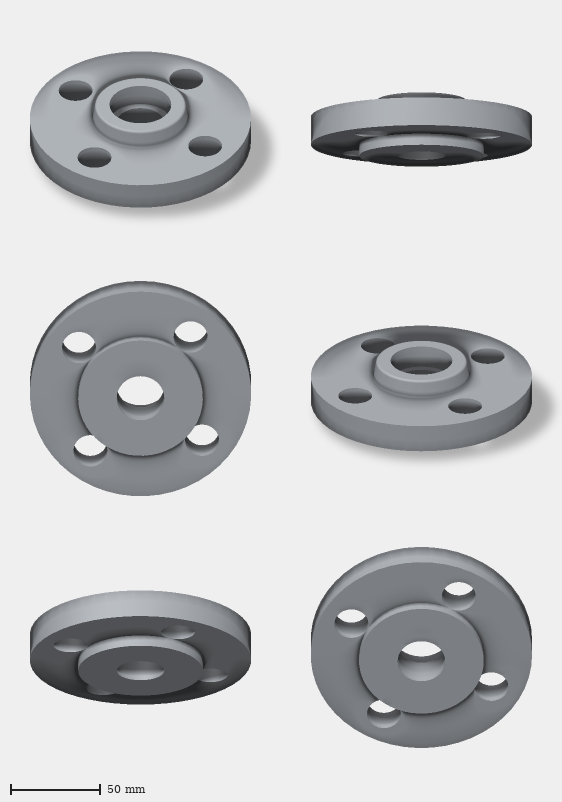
import cadquery as cq
import math


flange_diameter = 123.9
flange_thickness = 15.7
raised_face_diameter = 69.8
raised_face_height = 6.3

hub_base_diameter = 53.9
hub_height = 9.7
hub_draft_angle = 10.0
hub_fillet_radius = 1.5

bore_diameter = 26.6
socket_diameter = 34.6
socket_depth = 12.6

bolt_hole_count = 4
bolt_hole_diameter = 19.0
bolt_circle_diameter = 88.9

flange_top = raised_face_height + flange_thickness
overall_height = flange_top + hub_height
hub_base_radius = hub_base_diameter / 2
hub_top_radius = hub_base_radius - hub_height * math.tan(math.radians(hub_draft_angle))


def revolved_body():
    """Raised face, flange disc and tapered hub as one solid of revolution."""
    raised_face_radius = raised_face_diameter / 2
    flange_radius = flange_diameter / 2
    half_section = [
        (0, 0),
        (raised_face_radius, 0),
        (raised_face_radius, raised_face_height),
        (flange_radius, raised_face_height),
        (flange_radius, flange_top),
        (hub_base_radius, flange_top),
        (hub_top_radius, overall_height),
        (0, overall_height),
    ]
    return cq.Workplane("XZ").polyline(half_section).close().revolve(360, (0, 0), (0, 1))


def round_hub(body):
    """Fillet the hub's top rim and its root on the flange by the same radius."""
    top_rim = cq.selectors.RadiusNthSelector(0)
    body = body.faces(">Z").edges(top_rim).fillet(hub_fillet_radius)
    flange_face = body.faces("|Z").faces(cq.selectors.AreaNthSelector(-1))
    hub_root = cq.selectors.RadiusNthSelector(0)
    return flange_face.edges(hub_root).fillet(hub_fillet_radius)


def cut_bore_and_socket(body):
    """Through bore, widened from the hub end to seat the pipe."""
    bore = cq.Workplane("XY").circle(bore_diameter / 2).extrude(overall_height)
    socket_floor = overall_height - socket_depth
    socket = (
        cq.Workplane("XY")
        .workplane(offset=socket_floor)
        .circle(socket_diameter / 2)
        .extrude(socket_depth)
    )
    return body.cut(bore).cut(socket)


def cut_bolt_holes(body):
    """Plain through holes spaced evenly on the bolt circle, the first on +X."""
    holes = (
        cq.Workplane("XY")
        .polarArray(bolt_circle_diameter / 2, 0, 360, bolt_hole_count)
        .circle(bolt_hole_diameter / 2)
        .extrude(overall_height)
    )
    return body.cut(holes)


body = round_hub(revolved_body())
body = cut_bore_and_socket(body)
result = cut_bolt_holes(body)